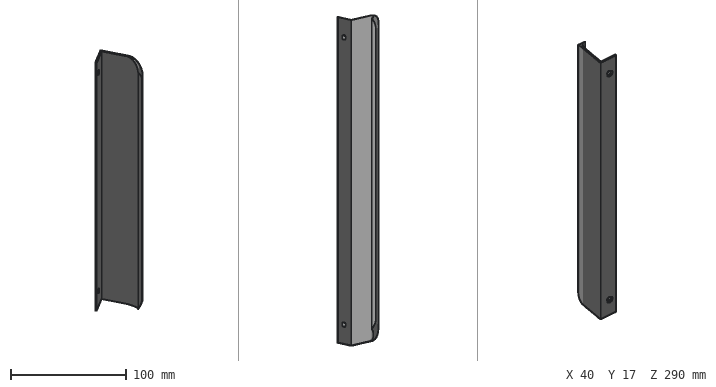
import cadquery as cq
import math

length = 290.0
width = 40.0
depth = 17.0

web_thickness = 1.5
flange_thickness = 1.5
flat_width = 24.6
outer_edge_y = -6.0
bevel_start_y = -10.0
tip_x = 37.5
lip_inner_radius = 16.8
tip_y = -12.2
corner_radius = width - flat_width

hole_diameter = 4.0
countersink_diameter = 6.0
countersink_angle = 90
hole_y = -10.2
hole_end_distance = 17.0


def tangent_arc_midpoint(start, end):
    """Midpoint of an arc that leaves start along +X and bends down to end."""
    run = end[0] - start[0]
    drop = start[1] - end[1]
    radius = (run**2 + drop**2) / (2 * drop)
    half_angle = math.atan2(drop, run)
    return (
        start[0] + radius * math.sin(half_angle),
        start[1] - radius * (1 - math.cos(half_angle)),
    )


def make_profile():
    """L-shaped section whose long leg ends in a thickening curved lip."""
    outer_start = (flat_width, 0)
    outer_end = (width, outer_edge_y)
    inner_start = (flat_width, -web_thickness)
    tip = (tip_x, tip_y)
    return (
        cq.Workplane("XY")
        .moveTo(0, 0)
        .lineTo(*outer_start)
        .threePointArc(tangent_arc_midpoint(outer_start, outer_end), outer_end)
        .lineTo(width, bevel_start_y)
        .lineTo(*tip)
        .radiusArc(inner_start, -lip_inner_radius)
        .lineTo(flange_thickness, -web_thickness)
        .lineTo(flange_thickness, -depth)
        .lineTo(0, -depth)
        .close()
    )


def round_lip_corners(body):
    """Trim the body to a front outline with rounded corners on the lip side."""
    outline = (
        cq.Workplane("XZ")
        .rect(width, length)
        .extrude(depth)
        .edges("|Y and >X")
        .fillet(corner_radius)
        .translate((width / 2, 0, length / 2))
    )
    return body.intersect(outline)


def drill_holes(body):
    """Cut a countersunk hole through the flange near each end."""
    positions = [(-hole_y, z) for z in (hole_end_distance, length - hole_end_distance)]
    face = cq.Plane(origin=(0, 0, 0), xDir=(0, -1, 0), normal=(-1, 0, 0))
    return (
        body.copyWorkplane(cq.Workplane(face))
        .pushPoints(positions)
        .cskHole(hole_diameter, countersink_diameter, countersink_angle, depth=flange_thickness)
    )


body = make_profile().extrude(length)
result = drill_holes(round_lip_corners(body))